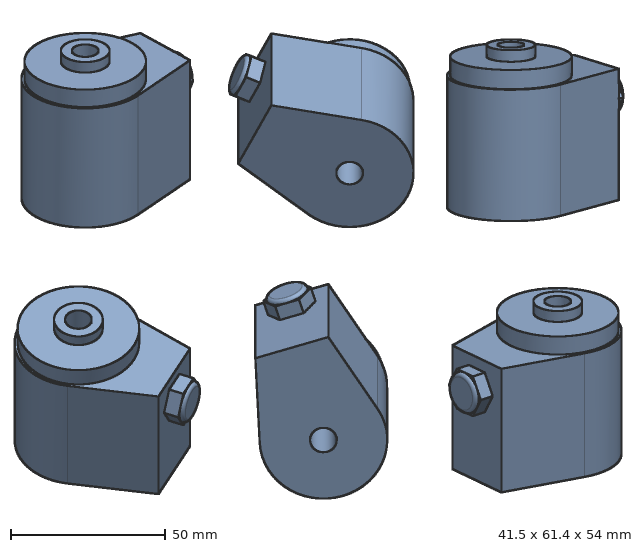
import cadquery as cq
import math

barrel_radius = 20.75
housing_height = 43.75
rear_face_y = 34.2
rear_face_width = 24.85

cover_diameter = 39.5
cover_height = 6.4
hub_diameter = 15.85
hub_height = 3.85

bore_diameter = 8.65

hex_across_flats = 14.0
hex_length = 5.05
cap_rounding = 1.4
fitting_depth = 11.1
fitting_z = housing_height - fitting_depth

total_height = housing_height + cover_height + hub_height


def make_housing():
    half_width = rear_face_width / 2
    corner_distance = math.hypot(half_width, rear_face_y)
    tangent_angle = math.atan2(rear_face_y, half_width) - math.acos(barrel_radius / corner_distance)
    tangent_x = barrel_radius * math.cos(tangent_angle)
    tangent_y = barrel_radius * math.sin(tangent_angle)
    return (
        cq.Workplane("XY")
        .moveTo(-half_width, rear_face_y)
        .lineTo(-tangent_x, tangent_y)
        .threePointArc((0, -barrel_radius), (tangent_x, tangent_y))
        .lineTo(half_width, rear_face_y)
        .close()
        .extrude(housing_height)
    )


def make_cover_and_hub():
    housing_top = cq.Workplane("XY").workplane(offset=housing_height)
    cover = housing_top.circle(cover_diameter / 2).extrude(cover_height)
    return cover.faces(">Z").workplane().circle(hub_diameter / 2).extrude(hub_height)


def make_bore():
    return cq.Workplane("XY").circle(bore_diameter / 2).extrude(total_height)


def make_fitting():
    hex_across_corners = hex_across_flats / math.cos(math.radians(30))
    rear_plane = cq.Plane(origin=(0, rear_face_y, fitting_z), xDir=(1, 0, 0), normal=(0, 1, 0))
    hexagon = cq.Workplane(rear_plane).polygon(6, hex_across_corners).extrude(hex_length)
    cap_radius = hex_across_flats / 2
    end_radius = cap_radius - cap_rounding
    arc_reach = cap_rounding * math.sin(math.radians(45))
    cap = (
        cq.Workplane("XY", origin=(0, rear_face_y + hex_length, fitting_z))
        .lineTo(cap_radius, 0)
        .threePointArc((end_radius + arc_reach, arc_reach), (end_radius, cap_rounding))
        .lineTo(0, cap_rounding)
        .close()
        .revolve(360, (0, 0), (0, 1))
    )
    return hexagon.union(cap)


result = make_housing().union(make_cover_and_hub()).union(make_fitting()).cut(make_bore())